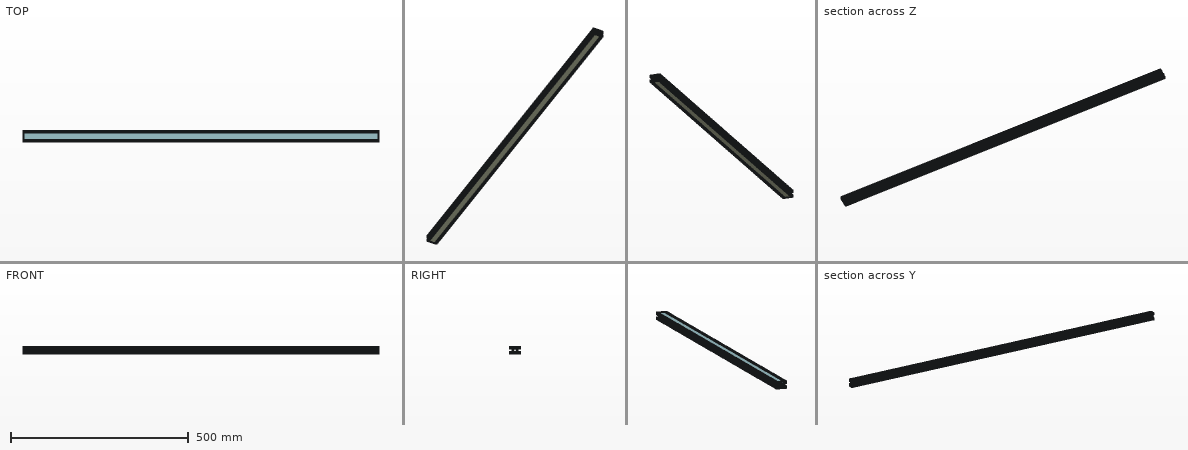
import cadquery as cq

length = 1000.0
width = 30.0
height = 20.0

mouth_height = 8.8
chamber_height = 16.2
floor_height = 10.5
lip_thickness = 2.9
core_width = 15.0
floor_taper_depth = 2.3

corner_radius = 2.0
bore_diameter = 10.0
notch_span = 12.5
notch_width = 4.0


def bar():
    """Bar with rounded long edges, centred on the section, running along X."""
    return (
        cq.Workplane("YZ")
        .rect(width, height)
        .extrude(length)
        .edges("|X")
        .fillet(corner_radius)
    )


def bore():
    """Round bore with four radial notches, along the full length."""
    round_bore = cq.Workplane("YZ").circle(bore_diameter / 2).extrude(length)
    flat_notch = cq.Workplane("YZ").rect(notch_span, notch_width).extrude(length)
    upright_notch = cq.Workplane("YZ").rect(notch_width, notch_span).extrude(length)
    return round_bore.union(flat_notch).union(upright_notch)


def side_slot(side):
    """T-slot along one side (-1 or +1): narrow mouth, wide chamber, tapered towards its floor."""
    outer = side * width / 2
    behind_lip = side * (width / 2 - lip_thickness)
    floor = side * core_width / 2
    taper_start = side * (core_width / 2 + floor_taper_depth)
    upper_half = [
        (outer, mouth_height / 2),
        (behind_lip, mouth_height / 2),
        (behind_lip, chamber_height / 2),
        (taper_start, chamber_height / 2),
        (floor, floor_height / 2),
    ]
    lower_half = [(y, -z) for y, z in reversed(upper_half)]
    return cq.Workplane("YZ").polyline(upper_half + lower_half).close().extrude(length)


result = bar().cut(bore())
for side in (-1, 1):
    result = result.cut(side_slot(side))